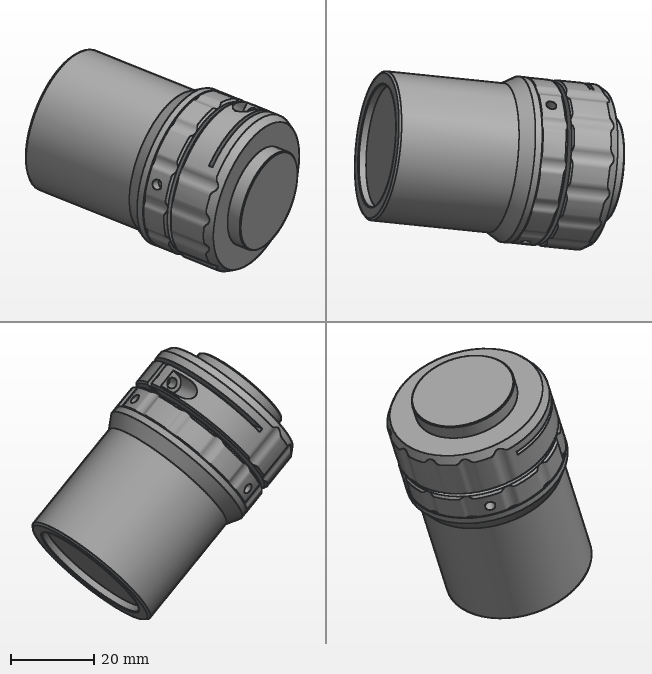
import cadquery as cq
import math


rim_radius = 20.0
barrel_radius = 18.0
neck_radius = 15.4
spigot_radius = 12.65
recess_radius = 14.75

barrel_end = 30.05
shoulder_start = 33.5
grip_start = 35.35
grip_end = 41.8
clamp_start = 42.8
relief_start = 49.45
relief_width = 1.0
clamp_taper_start = 52.55
clamp_end = 54.65
total_length = 58.3

barrel_chamfer = 0.5
grip_start_chamfer = 0.1
grip_end_chamfer = 0.6
clamp_chamfer = 0.45
spigot_chamfer = 0.25
clamp_taper_drop = 1.15
recess_depth = 2.0
recess_chamfer = 0.25

groove_depth = 0.6
grip_groove_radius = 2.75
grip_groove_blend = 1.5
grip_groove_count = 12
clamp_groove_radius = 3.0
clamp_groove_blend = 2.5
clamp_groove_count = 7
clamp_groove_pitch = 25.2

grip_hole_diameter = 2.5
grip_hole_depth = 2.9
grip_hole_x = 38.1
grip_hole_count = 3
grip_hole_angle = 35.6

clamp_angle = 37.4
slit_width = 1.75
relief_half_angle = 92.5
screw_x = (clamp_start + relief_start) / 2
screw_radius_from_axis = 17.6
screw_seat_offset = 4.45
screw_hole_diameter = 2.6
screw_head_diameter = 4.9


def polar(radius, angle):
    """Y, Z position of a point given by its radius and angle."""
    turn = math.radians(angle)
    return radius * math.cos(turn), radius * math.sin(turn)


def turned_body():
    """Revolved outline of barrel, grip ring, clamp ring and spigot."""
    outline = [
        (0, 0),
        (0, barrel_radius - barrel_chamfer),
        (barrel_chamfer, barrel_radius),
        (barrel_end, barrel_radius),
        (shoulder_start, rim_radius),
        (grip_start - grip_start_chamfer, rim_radius),
        (grip_start, rim_radius - grip_start_chamfer),
        (grip_start + grip_start_chamfer, rim_radius),
        (grip_end - grip_end_chamfer, rim_radius),
        (grip_end, rim_radius - grip_end_chamfer),
        (grip_end, neck_radius),
        (clamp_start, neck_radius),
        (clamp_start, rim_radius - clamp_chamfer),
        (clamp_start + clamp_chamfer, rim_radius),
        (clamp_taper_start, rim_radius),
        (clamp_end, rim_radius - clamp_taper_drop),
        (clamp_end, spigot_radius),
        (total_length - spigot_chamfer, spigot_radius),
        (total_length, spigot_radius - spigot_chamfer),
        (total_length, 0),
    ]
    return cq.Workplane("XY").polyline(outline).close().revolve(360, (0, 0, 0), (1, 0, 0))


def front_recess():
    """Shallow round recess in the barrel face, with a chamfered mouth."""
    outline = [
        (0, 0),
        (0, recess_radius + recess_chamfer),
        (recess_chamfer, recess_radius),
        (recess_depth, recess_radius),
        (recess_depth, 0),
    ]
    return cq.Workplane("XY").polyline(outline).close().revolve(360, (0, 0, 0), (1, 0, 0))


def groove_cutter(start, end, radius, blend, angle):
    """Axial groove: a concave arc that runs tangent into the rim through two convex arcs."""
    groove_centre = rim_radius - groove_depth + radius
    blend_centre = rim_radius - blend
    arc_spacing = radius + blend
    half_angle = math.acos(
        (groove_centre**2 + blend_centre**2 - arc_spacing**2) / (2 * groove_centre * blend_centre)
    )
    arc_angle = math.asin(blend_centre * math.sin(half_angle) / arc_spacing)

    rim_side = rim_radius * math.sin(half_angle)
    rim_height = rim_radius * math.cos(half_angle)
    joint_side = radius * math.sin(arc_angle)
    joint_height = groove_centre - radius * math.cos(arc_angle)
    middle_direction = (half_angle + arc_angle) / 2
    middle_side = blend_centre * math.sin(half_angle) + blend * math.sin(half_angle - middle_direction)
    middle_height = blend_centre * math.cos(half_angle) + blend * math.cos(half_angle - middle_direction)
    clear_height = rim_radius + groove_depth

    return (
        cq.Workplane("YZ", origin=(start, 0, 0))
        .moveTo(clear_height, -rim_side)
        .lineTo(rim_height, -rim_side)
        .threePointArc((middle_height, -middle_side), (joint_height, -joint_side))
        .threePointArc((rim_radius - groove_depth, 0), (joint_height, joint_side))
        .threePointArc((middle_height, middle_side), (rim_height, rim_side))
        .lineTo(clear_height, rim_side)
        .close()
        .extrude(end - start)
        .rotate((0, 0, 0), (1, 0, 0), angle)
    )


def radial_hole(angle):
    """Blind hole drilled from the rim straight towards the axis."""
    y, z = polar(1, angle)
    rim_point = cq.Vector(grip_hole_x, rim_radius * y, rim_radius * z)
    inward = cq.Vector(0, -y, -z)
    return cq.Workplane(cq.Solid.makeCylinder(grip_hole_diameter / 2, grip_hole_depth, rim_point, inward))


def relief_slot():
    """Slot around part of the clamp ring, centred on the clamp slit, with radial ends."""
    reach = 2 * rim_radius
    middle = clamp_angle
    sector = (
        cq.Workplane("YZ", origin=(relief_start, 0, 0))
        .moveTo(0, 0)
        .lineTo(*polar(reach, middle - relief_half_angle))
        .threePointArc(polar(reach, middle), polar(reach, middle + relief_half_angle))
        .close()
        .extrude(relief_width)
    )
    core = cq.Workplane("YZ", origin=(relief_start, 0, 0)).circle(neck_radius).extrude(relief_width)
    return sector.cut(core)


def clamp_slit():
    """Radial slit that splits the clamp ring up to the relief slot."""
    length = relief_start - clamp_start
    slit = (
        cq.Workplane("YZ", origin=(clamp_start, 0, 0))
        .center(rim_radius, 0)
        .rect(2 * (rim_radius - neck_radius), slit_width)
        .extrude(length)
        .rotate((0, 0, 0), (1, 0, 0), clamp_angle)
    )
    core = cq.Workplane("YZ", origin=(clamp_start, 0, 0)).circle(neck_radius).extrude(length)
    return slit.cut(core)


def clamp_screw():
    """Screw hole square to the slit, with a round-bottomed head pocket open to the rim."""
    head_pocket = (
        cq.Workplane("XY", origin=(screw_x, screw_radius_from_axis, screw_seat_offset))
        .circle(screw_head_diameter / 2)
        .extrude(rim_radius)
        .center(0, screw_head_diameter / 2)
        .rect(screw_head_diameter, screw_head_diameter)
        .extrude(rim_radius)
    )
    shank = (
        cq.Workplane("XY", origin=(screw_x, screw_radius_from_axis, -screw_seat_offset))
        .circle(screw_hole_diameter / 2)
        .extrude(2 * screw_seat_offset)
    )
    return head_pocket.union(shank).rotate((0, 0, 0), (1, 0, 0), clamp_angle)


result = turned_body().cut(front_recess())

grip_groove_pitch = 360 / grip_groove_count
for index in range(grip_groove_count):
    groove_angle = grip_hole_angle + (index + 0.5) * grip_groove_pitch
    result = result.cut(
        groove_cutter(grip_start, grip_end, grip_groove_radius, grip_groove_blend, groove_angle)
    )
for index in range(grip_hole_count):
    result = result.cut(radial_hole(grip_hole_angle + index * 360 / grip_hole_count))

for index in range(clamp_groove_count):
    steps_from_middle = index - (clamp_groove_count - 1) / 2
    groove_angle = clamp_angle + 180 + steps_from_middle * clamp_groove_pitch
    result = result.cut(
        groove_cutter(clamp_start, clamp_end, clamp_groove_radius, clamp_groove_blend, groove_angle)
    )
result = result.cut(relief_slot()).cut(clamp_slit()).cut(clamp_screw())